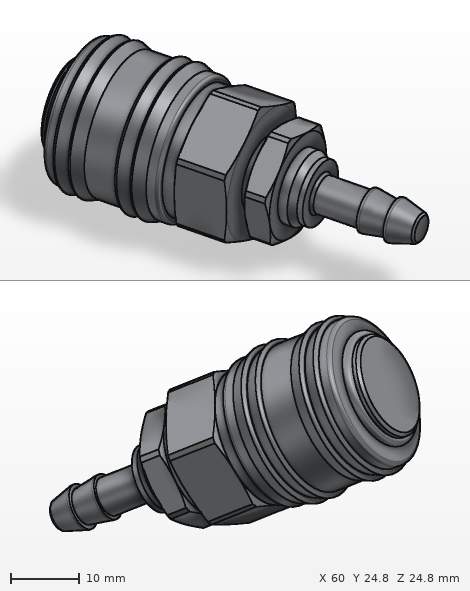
import cadquery as cq
import math


total_length = 60.0

plug_diameter = 15.95
plug_chamfer = 0.5

ring_wire_diameter = 1.5
ring_pitch_diameter = 16.5
ring_gap_angle = 7.2
ring_gap_center = 14.2

sleeve_start = 2.6
sleeve_end = 22.15
sleeve_diameter = 23.3
sleeve_fillet = 0.6
rib_diameter = 24.8
rib_crest_radius = 0.5
rib_length = 2.5
rib_pitch = 2.57
rib_pair_starts = (4.56, 15.0)

half_corner_angle = 30.0
envelope_margin = 1.0

neck_diameter = 21.1
hex_start = 24.15
hex_end = 33.0
hex_across_flats = 21.0
hex_corner_diameter = 23.72
hex_face_diameter = 21.0
hex_chamfer_angle = 15.0
hex_turn = 0.0

stem_diameter = 12.0
stem_end = 40.7
nut_start = 34.9
nut_end = 39.1
nut_across_flats = 17.0
nut_corner_diameter = 19.08
nut_face_diameter = 16.95
nut_chamfer_angle = 20.0
nut_turn = 10.6

collar_diameter = 10.6
collar_start = 41.95
collar_end = 42.9

hose_diameter = 6.05
root_flare = 0.35
root_flare_length = 0.55
barb_diameter = 7.1
barb_land = 0.4
barb_starts = (51.0, 55.5)
barb_waist_diameter = 5.7
tip_diameter = 4.9
tip_chamfer = 0.35


def revolve_about_x(profile):
    """Revolve an (x, radius) profile drawn in the XY plane about the X axis."""
    return profile.close().revolve(360, (0, 0, 0), (1, 0, 0))


def make_plug():
    radius = plug_diameter / 2
    profile = (
        cq.Workplane("XY")
        .lineTo(0, radius - plug_chamfer)
        .lineTo(plug_chamfer, radius)
        .lineTo(sleeve_start, radius)
        .lineTo(sleeve_start, 0)
    )
    return revolve_about_x(profile)


def make_sleeve():
    sleeve = (
        cq.Workplane("YZ", origin=(sleeve_start, 0, 0))
        .circle(sleeve_diameter / 2)
        .extrude(sleeve_end - sleeve_start)
        .edges()
        .fillet(sleeve_fillet)
    )
    for pair_start in rib_pair_starts:
        for index in range(2):
            sleeve = sleeve.union(make_grip_rib(pair_start + index * rib_pitch))
    return sleeve


def make_grip_rib(start):
    """Sawtooth rib: steep wall, rounded crest, then a cone down to the sleeve."""
    crest = rib_diameter / 2
    base = sleeve_diameter / 2
    arc_offset = rib_crest_radius * (1 - math.sqrt(0.5))
    profile = (
        cq.Workplane("XY")
        .moveTo(start, 0)
        .lineTo(start, crest - rib_crest_radius)
        .threePointArc(
            (start + arc_offset, crest - arc_offset),
            (start + rib_crest_radius, crest),
        )
        .lineTo(start + rib_length, base)
        .lineTo(start + rib_length, 0)
    )
    return revolve_about_x(profile)


def make_hexagon(start, end, across_flats, corner_diameter, face_diameter, chamfer_angle, turn):
    """Hexagon along X with flats on its corners and a turned chamfer at both ends."""
    length = end - start
    vertex_diameter = across_flats / math.cos(math.radians(half_corner_angle))

    prism = cq.Workplane("YZ").polygon(6, vertex_diameter).extrude(length)
    trim_diameter = corner_diameter / math.cos(math.radians(half_corner_angle))
    trim = cq.Workplane("YZ").polygon(6, trim_diameter).extrude(length)
    hexagon = prism.rotate((0, 0, 0), (1, 0, 0), half_corner_angle).intersect(trim)

    envelope_radius = corner_diameter / 2 + envelope_margin
    face_radius = face_diameter / 2
    cone_length = (envelope_radius - face_radius) * math.tan(math.radians(chamfer_angle))
    envelope = (
        cq.Workplane("XY")
        .lineTo(0, face_radius)
        .lineTo(cone_length, envelope_radius)
        .lineTo(length - cone_length, envelope_radius)
        .lineTo(length, face_radius)
        .lineTo(length, 0)
    )
    hexagon = hexagon.intersect(revolve_about_x(envelope))
    return hexagon.rotate((0, 0, 0), (1, 0, 0), turn).translate((start, 0, 0))


def make_shank():
    """Neck, stem, collar and hose barb as one turned profile."""
    barb_radius = barb_diameter / 2
    hose_radius = hose_diameter / 2
    first_barb, second_barb = barb_starts
    profile = (
        cq.Workplane("XY")
        .moveTo(sleeve_end, 0)
        .lineTo(sleeve_end, neck_diameter / 2)
        .lineTo(hex_start, neck_diameter / 2)
        .lineTo(hex_start, stem_diameter / 2)
        .lineTo(stem_end, stem_diameter / 2)
        .lineTo(collar_start, collar_diameter / 2)
        .lineTo(collar_end, collar_diameter / 2)
        .lineTo(collar_end, hose_radius + root_flare)
        .lineTo(collar_end + root_flare_length, hose_radius)
        .lineTo(first_barb, hose_radius)
        .lineTo(first_barb, barb_radius)
        .lineTo(first_barb + barb_land, barb_radius)
        .lineTo(second_barb, barb_waist_diameter / 2)
        .lineTo(second_barb, barb_radius)
        .lineTo(second_barb + barb_land, barb_radius)
        .lineTo(total_length - tip_chamfer, tip_diameter / 2)
        .lineTo(total_length, tip_diameter / 2 - tip_chamfer)
        .lineTo(total_length, 0)
    )
    return revolve_about_x(profile)


def make_ring(angle):
    """Round wire ring against the sleeve, swept through the given angle from +Z."""
    wire_radius = ring_wire_diameter / 2
    return (
        cq.Workplane("XZ")
        .center(sleeve_start - wire_radius, ring_pitch_diameter / 2)
        .circle(wire_radius)
        .revolve(angle, (0, -ring_pitch_diameter / 2, 0), (1, -ring_pitch_diameter / 2, 0))
    )


body_hexagon = make_hexagon(
    hex_start, hex_end, hex_across_flats, hex_corner_diameter,
    hex_face_diameter, hex_chamfer_angle, hex_turn,
)
nut_hexagon = make_hexagon(
    nut_start, nut_end, nut_across_flats, nut_corner_diameter,
    nut_face_diameter, nut_chamfer_angle, nut_turn,
)
ring_groove = make_ring(360.0)
coupling = (
    make_plug()
    .cut(ring_groove)
    .union(make_sleeve())
    .union(make_shank())
    .union(body_hexagon)
    .union(nut_hexagon)
)

ring_first_end = ring_gap_center + ring_gap_angle / 2
split_ring = make_ring(360.0 - ring_gap_angle).rotate((0, 0, 0), (1, 0, 0), ring_first_end)

result = cq.Compound.makeCompound([coupling.val(), split_ring.val()])